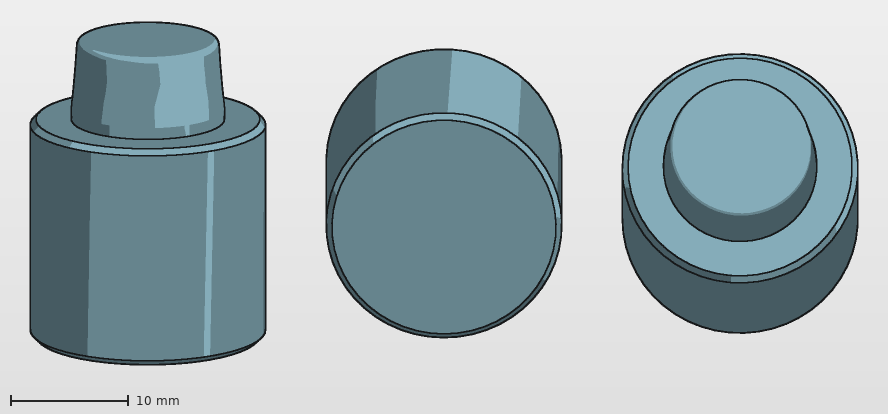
import cadquery as cq

total_height = 26.0
body_diameter = 20.0
body_height = 19.0
body_chamfer = 0.5
collar_diameter = 13.0
collar_height = 1.0
tip_diameter = 12.0
tip_fillet = 0.5

body_radius = body_diameter / 2
collar_radius = collar_diameter / 2
tip_radius = tip_diameter / 2
collar_top = body_height + collar_height


def make_body():
    """Cylinder with both rims chamfered."""
    body = cq.Workplane("XY").circle(body_radius).extrude(body_height)
    return body.faces("<Z or >Z").edges().chamfer(body_chamfer)


def make_knob():
    """Short straight collar, then a slightly tapered tip with a rounded rim."""
    profile = (
        cq.Workplane("XZ")
        .moveTo(0, body_height)
        .lineTo(collar_radius, body_height)
        .lineTo(collar_radius, collar_top)
        .lineTo(tip_radius, total_height)
        .lineTo(0, total_height)
        .close()
    )
    knob = profile.revolve(360, (0, 0, 0), (0, 1, 0))
    return knob.faces(">Z").edges().fillet(tip_fillet)


result = make_body().union(make_knob())